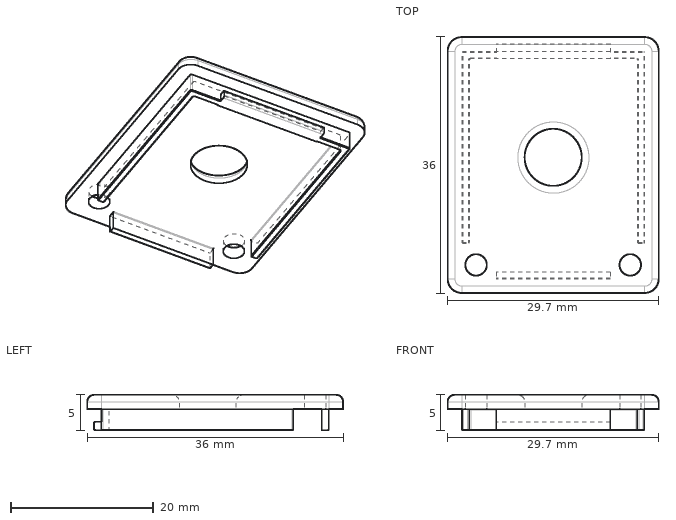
import cadquery as cq

plate_width = 29.7
plate_length = 36.0
total_height = 5.0
plate_thickness = 2.0
corner_radius = 2.0
rim_round = 1.0

window_diameter = 8.0
window_y = 1.08
screw_diameter = 3.0
screw_x = 10.85
screw_y = -14.05

wall_inset = 2.0
wall_thickness = 1.0
wall_front_y = -10.98
wall_edge_round = 0.2
bottom_chamfer = 0.1
root_round = 0.1
tab_width = 16.05
catch_height = 1.22
catch_reach = 1.08
catch_round = 0.3

wall_height = total_height - plate_thickness
wall_half_width = plate_width / 2 - wall_inset
wall_back_y = plate_length / 2 - wall_inset
tab_front_y = -wall_back_y
inner_half_width = wall_half_width - wall_thickness
inner_back_y = wall_back_y - wall_thickness


def make_plate():
    """Rounded plate with softened top rim and a flared central window."""
    plate = (
        cq.Workplane("XY")
        .workplane(offset=wall_height)
        .rect(plate_width, plate_length)
        .extrude(plate_thickness)
        .edges("|Z")
        .fillet(corner_radius)
    )
    plate = plate.faces(">Z").workplane(origin=(0, window_y, 0)).hole(window_diameter)
    plate = plate.faces(">Z").edges().fillet(rim_round)
    return (
        plate.faces(">Z")
        .workplane(origin=(0, 0, 0))
        .pushPoints([(-screw_x, screw_y), (screw_x, screw_y)])
        .hole(screw_diameter)
    )


def make_wall():
    """U-shaped wall, open toward the front, with rounded upright edges."""
    outline = [
        (-wall_half_width, wall_front_y),
        (-wall_half_width, wall_back_y),
        (wall_half_width, wall_back_y),
        (wall_half_width, wall_front_y),
        (inner_half_width, wall_front_y),
        (inner_half_width, inner_back_y),
        (-inner_half_width, inner_back_y),
        (-inner_half_width, wall_front_y),
    ]
    wall = cq.Workplane("XY").polyline(outline).close().extrude(wall_height)
    wall = wall.edges("|Z").fillet(wall_edge_round)
    side_edges = wall.faces("<X or >X").edges("<Z")
    return side_edges.chamfer(bottom_chamfer)


def make_wall_root():
    """Small concave round where the inner faces of the wall meet the plate."""
    root_front_y = wall_front_y + wall_edge_round
    length = inner_back_y - root_front_y
    hollow = (
        cq.Workplane("XY")
        .box(2 * inner_half_width, length, wall_height, centered=(True, False, False))
        .translate((0, root_front_y, 0))
        .edges("|Z and >Y")
        .fillet(wall_edge_round)
    )
    rounded_hollow = hollow.faces(">Z").edges("not <Y").fillet(root_round)
    return hollow.cut(rounded_hollow)


def make_tab():
    """Upright tab at the front, with its lower outer edge broken and its inner root rounded."""
    tab_back_y = tab_front_y + wall_thickness
    return (
        cq.Workplane("YZ")
        .moveTo(tab_front_y + bottom_chamfer, 0)
        .lineTo(tab_back_y, 0)
        .lineTo(tab_back_y, wall_height - root_round)
        .radiusArc((tab_back_y + root_round, wall_height), root_round)
        .lineTo(tab_front_y, wall_height)
        .lineTo(tab_front_y, bottom_chamfer)
        .close()
        .extrude(tab_width / 2, both=True)
    )


def make_catch():
    """Rounded lip that projects backward from the foot of the rear wall."""
    catch_length = wall_thickness + catch_reach
    return (
        cq.Workplane("XY")
        .box(tab_width, catch_length, catch_height, centered=(True, False, False))
        .translate((0, inner_back_y, 0))
        .faces(">Y")
        .edges("|X")
        .fillet(catch_round)
    )


result = (
    make_plate()
    .union(make_wall())
    .union(make_wall_root())
    .union(make_tab())
    .union(make_catch())
)